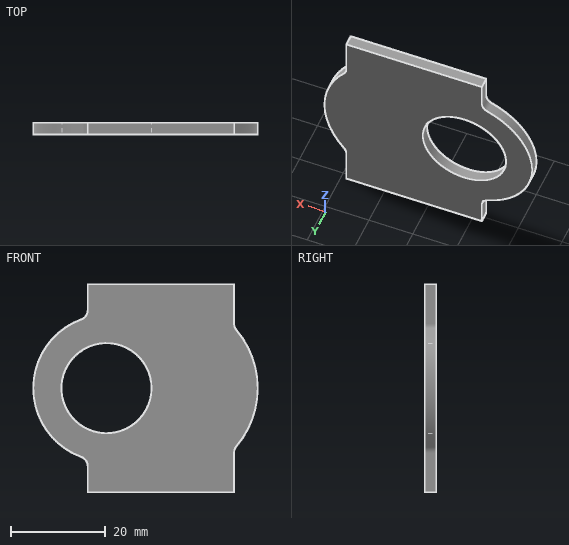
import cadquery as cq

thickness = 2.5
hole_diameter = 19.0
rim_radius = 15.5
tab_height = 44.0
tab_left = -4.0
tab_right = 27.0
bulge_tip = 32.0
bulge_radius = 19.0
corner_radius = 2.0

tab_width = tab_right - tab_left
tab_center = (tab_left + tab_right) / 2
bulge_center = bulge_tip - bulge_radius


def disc(center_x, radius):
    """Full-thickness disc centred on the X axis."""
    return cq.Workplane("XZ").center(center_x, 0).circle(radius).extrude(thickness / 2, both=True)


def tab():
    """Rectangular plate that stands out above and below the round parts."""
    return cq.Workplane("XZ").center(tab_center, 0).rect(tab_width, tab_height).extrude(thickness / 2, both=True)


def inside_corners():
    """Selector for the four through-thickness edges where the curves meet the tab."""
    margin = 1.0
    inner_height = tab_height / 2 - margin
    return cq.selectors.BoxSelector(
        (tab_left - margin, -thickness, -inner_height),
        (tab_right + margin, thickness, inner_height),
    )


blank = tab().union(disc(0, rim_radius)).union(disc(bulge_center, bulge_radius))
blank = blank.edges("|Y").edges(inside_corners()).fillet(corner_radius)

result = blank.cut(disc(0, hole_diameter / 2))